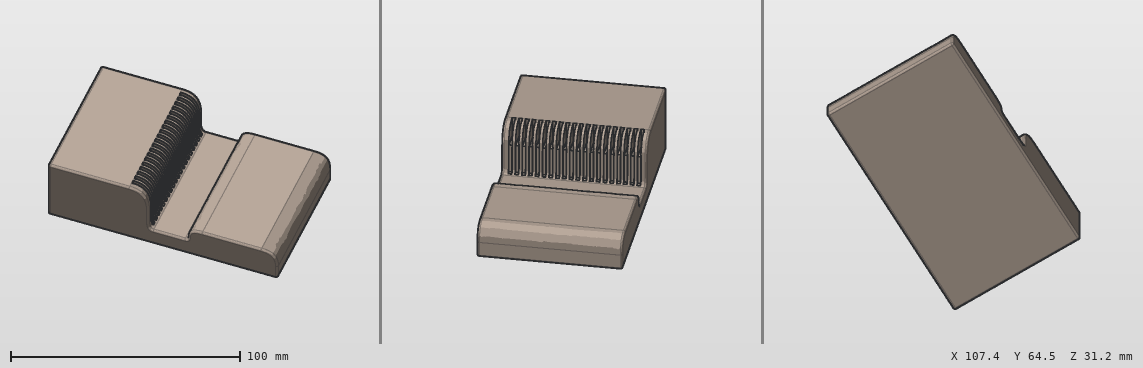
import cadquery as cq

LENGTH = 107.4
WIDTH = 64.5
HEIGHT = 31.2
EDGE_RADIUS = 1.0

PAD_HEIGHT = 15.5
FLOOR_HEIGHT = 8.4

TALL_TOP_END_X = 37.8
FLOOR_START_X = 49.1
FLOOR_END_X = 63.9
PAD_START_X = 72.0

TALL_TOP_PULL = 15.6
TALL_FLOOR_PULL = 5.9
PAD_FLOOR_PULL = 3.9
PAD_TOP_PULL = 10.0

END_NOSE_RUN = 7.8
END_NOSE_RISE = 8.1
END_NOSE_FULLNESS = 0.7

SLOT_COUNT = 20
SLOT_PITCH = 3.0
SLOT_WIDTH = 1.5
SLOT_OFFSET_Y = 0.2
SLOT_START_X = 38.1
SLOT_BACK_X = 46.2
SLOT_END_X = 49.4
SLOT_SHELF_HEIGHT = 22.0
SLOT_FLOOR_HEIGHT = 8.6


def add_channel_wall(outline, start, start_pull, end, end_pull):
    """Smooth S-curve that leaves start and reaches end horizontally."""
    start_control = (start[0] + start_pull, start[1])
    end_control = (end[0] - end_pull, end[1])
    return outline.lineTo(*start).bezier([start, start_control, end_control, end])


def add_end_nose(outline):
    """Full rounding from the pad top down to the end face."""
    start = (LENGTH - END_NOSE_RUN, PAD_HEIGHT)
    start_control = (start[0] + END_NOSE_FULLNESS * END_NOSE_RUN, PAD_HEIGHT)
    end = (LENGTH, PAD_HEIGHT - END_NOSE_RISE)
    end_control = (LENGTH, end[1] + END_NOSE_FULLNESS * END_NOSE_RISE)
    return outline.lineTo(*start).bezier([start, start_control, end_control, end])


def make_body():
    """Side outline extruded across the width, with its sharp edges rounded."""
    tall_top = (TALL_TOP_END_X, HEIGHT)
    floor_start = (FLOOR_START_X, FLOOR_HEIGHT)
    floor_end = (FLOOR_END_X, FLOOR_HEIGHT)
    pad_start = (PAD_START_X, PAD_HEIGHT)

    outline = cq.Workplane("XZ", origin=(0, WIDTH / 2, 0)).moveTo(0, 0).lineTo(0, HEIGHT)
    outline = add_channel_wall(outline, tall_top, TALL_TOP_PULL, floor_start, TALL_FLOOR_PULL)
    outline = add_channel_wall(outline, floor_end, PAD_FLOOR_PULL, pad_start, PAD_TOP_PULL)
    outline = add_end_nose(outline)
    body = outline.lineTo(LENGTH, 0).close().extrude(WIDTH)

    return body.faces("<Y or >Y or <Z or <X").edges().fillet(EDGE_RADIUS)


def make_slot(center_y):
    """Cutter with a shelf behind the rounded top and a groove down the wall."""
    return (
        cq.Workplane("XZ", origin=(0, center_y + SLOT_WIDTH / 2, 0))
        .moveTo(SLOT_START_X, HEIGHT)
        .lineTo(SLOT_START_X, SLOT_SHELF_HEIGHT)
        .lineTo(SLOT_BACK_X, SLOT_SHELF_HEIGHT)
        .lineTo(SLOT_BACK_X, SLOT_FLOOR_HEIGHT)
        .lineTo(SLOT_END_X, SLOT_FLOOR_HEIGHT)
        .lineTo(SLOT_END_X, HEIGHT)
        .close()
        .extrude(SLOT_WIDTH)
    )


result = make_body()
for index in range(SLOT_COUNT):
    slot_y = SLOT_OFFSET_Y + (index - (SLOT_COUNT - 1) / 2) * SLOT_PITCH
    result = result.cut(make_slot(slot_y))